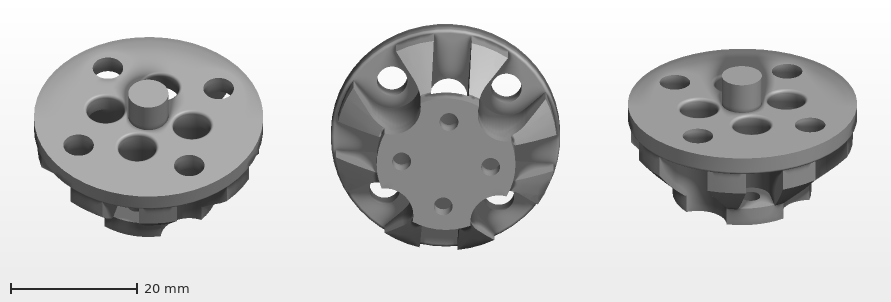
import cadquery as cq
import math

BASE_HEIGHT = 3.0
HUB_HEIGHT = 10.0
DISC_HEIGHT = 3.02
PIN_HEIGHT = 5.0
HUB_BOTTOM = BASE_HEIGHT
DISC_BOTTOM = HUB_BOTTOM + HUB_HEIGHT
PIN_BOTTOM = DISC_BOTTOM + DISC_HEIGHT

OFFSET_X = -0.15
OFFSET_Y = 0.05

DISC_DIAMETER = 36.38
PIN_DIAMETER = 6.35
HUB_DIAMETER = 35.18
BASE_DIAMETER = 22.0
HUB_BOTTOM_DIAMETER = 22.55
HUB_TAPER_HEIGHT = 6.33
HUB_TAPER_BULGE = 0.2

RIM_HOLE_DIAMETER = 4.85
RIM_HOLE_CIRCLE_RADIUS = 12.85
CLEARANCE_SLOT_WIDTH = 9.1

SCREW_PITCH = 10.0
SCREW_HOLE_DIAMETER = 3.0
SCREW_ACCESS_DIAMETER = 6.0
SCREW_CIRCLE_RADIUS = SCREW_PITCH / math.sqrt(2)

EDGE_FILLET = 0.5
QUADRANT_ANGLE = 90
RIM_START_ANGLE = 0
SCREW_START_ANGLE = 45


def cylinder(diameter, height, bottom, x=0.0, y=0.0):
    """Upright cylinder with its bottom centre at (x, y, bottom)."""
    return cq.Workplane("XY").circle(diameter / 2).extrude(height).translate((x, y, bottom))


def outward_slots(parent, width, centre_radius, start_angle, bottom, height):
    """Cut four U-shaped slots, round at the inner end and open to the outside."""
    length = DISC_DIAMETER / 2
    for index in range(4):
        round_end = cylinder(width, height, bottom, centre_radius)
        straight = (
            cq.Workplane("XY")
            .box(length, width, height, centered=(False, True, False))
            .translate((centre_radius, 0, bottom))
        )
        angle = start_angle + index * QUADRANT_ANGLE
        slot = round_end.union(straight).rotate((0, 0, 0), (0, 0, 1), angle)
        parent = parent.cut(slot)
    return parent


def make_base():
    """Scalloped base plate with four screw holes."""
    base = cylinder(BASE_DIAMETER, BASE_HEIGHT, 0, OFFSET_X, OFFSET_Y)
    base = outward_slots(
        base, CLEARANCE_SLOT_WIDTH, RIM_HOLE_CIRCLE_RADIUS, RIM_START_ANGLE, 0, BASE_HEIGHT
    )
    screw_holes = (
        cq.Workplane("XY")
        .center(OFFSET_X, OFFSET_Y)
        .rarray(SCREW_PITCH, SCREW_PITCH, 2, 2)
        .circle(SCREW_HOLE_DIAMETER / 2)
        .extrude(BASE_HEIGHT)
    )
    return base.cut(screw_holes)


def make_hub():
    """Hub with a slightly bulging taper, rim clearance slots and screw access slots."""
    bottom_radius = HUB_BOTTOM_DIAMETER / 2
    top_radius = HUB_DIAMETER / 2
    hub = (
        cq.Workplane("XZ")
        .lineTo(bottom_radius, 0)
        .sagittaArc((top_radius, HUB_TAPER_HEIGHT), -HUB_TAPER_BULGE)
        .lineTo(top_radius, HUB_HEIGHT)
        .lineTo(0, HUB_HEIGHT)
        .close()
        .revolve(360, (0, 0), (0, 1))
        .translate((OFFSET_X, OFFSET_Y, HUB_BOTTOM))
    )
    hub = outward_slots(
        hub, CLEARANCE_SLOT_WIDTH, RIM_HOLE_CIRCLE_RADIUS, RIM_START_ANGLE, HUB_BOTTOM, HUB_HEIGHT
    )
    return outward_slots(
        hub, SCREW_ACCESS_DIAMETER, SCREW_CIRCLE_RADIUS, SCREW_START_ANGLE, HUB_BOTTOM, HUB_HEIGHT
    )


def make_disc():
    """Top disc with rim holes and rounded screw access holes."""
    disc = cylinder(DISC_DIAMETER, DISC_HEIGHT, DISC_BOTTOM)
    disc = disc.faces("<Z").edges().fillet(EDGE_FILLET)
    access_holes = (
        cq.Workplane("XY", origin=(0, 0, DISC_BOTTOM))
        .rarray(SCREW_PITCH, SCREW_PITCH, 2, 2)
        .circle(SCREW_ACCESS_DIAMETER / 2)
        .extrude(DISC_HEIGHT)
    )
    disc = disc.cut(access_holes)
    disc = disc.faces(">Z").edges(cq.selectors.RadiusNthSelector(0)).fillet(EDGE_FILLET)
    rim_holes = (
        cq.Workplane("XY", origin=(0, 0, DISC_BOTTOM))
        .polarArray(RIM_HOLE_CIRCLE_RADIUS, RIM_START_ANGLE, 360, 4)
        .circle(RIM_HOLE_DIAMETER / 2)
        .extrude(DISC_HEIGHT)
    )
    return disc.cut(rim_holes)


def make_pin():
    """Plain round pin standing on the disc."""
    return cylinder(PIN_DIAMETER, PIN_HEIGHT, PIN_BOTTOM, OFFSET_X, OFFSET_Y)


base = make_base()
hub = make_hub()
disc = make_disc()
pin = make_pin()

result = cq.Compound.makeCompound([body.solids().val() for body in (base, hub, disc, pin)])